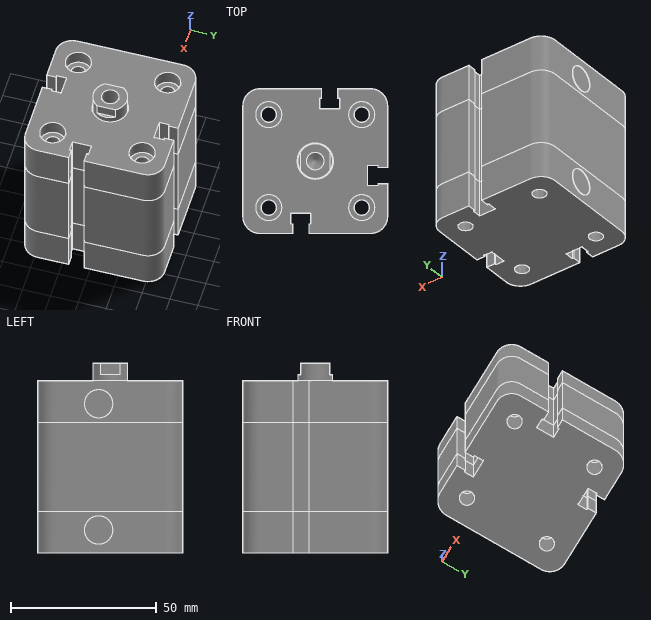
import cadquery as cq
import math

side = 50.0
corner_radius = 6.0

overall_height = 65.5
rod_projection = 6.0
body_height = overall_height - rod_projection
cap_height = 14.4
barrel_height = body_height - 2 * cap_height
front_cap_base = body_height - cap_height

slot_offset = 5.0
slot_mouth_width = 5.5
slot_inner_width = 6.8
slot_lip_depth = 3.4
slot_depth = 6.95
slot_angles = (0, 90, 180)

mount_spacing = 32.0
mount_diameter = 5.2
counterbore_diameter = 9.0
counterbore_depth = 5.5

port_diameter = 9.75
port_depth = 0.2
port_y = 4.0
port_end_distance = 8.0

rod_diameter = 12.0
rod_bore_diameter = 12.5
rod_across_flats = 10.0
rod_flat_height = 4.0
rod_hole_diameter = 6.0
rod_hole_depth = 12.0
drill_tip_angle = 118.0


def t_slot(base_z, height, angle):
    """T-slot cutter in the -Y side, turned about Z by the given angle."""
    face_y = -side / 2
    mouth = cq.Workplane("XY").box(
        slot_mouth_width, slot_depth, height, centered=(True, False, False)
    )
    inner = (
        cq.Workplane("XY")
        .box(slot_inner_width, slot_depth - slot_lip_depth, height, centered=(True, False, False))
        .translate((0, slot_lip_depth, 0))
    )
    cutter = mouth.union(inner).translate((-slot_offset, face_y, base_z))
    return cutter.rotate((0, 0, 0), (0, 0, 1), angle)


def body_section(base_z, height):
    """Rounded square block with the T-slots and the four through holes."""
    section = (
        cq.Workplane("XY", origin=(0, 0, base_z))
        .rect(side, side)
        .extrude(height)
        .edges("|Z")
        .fillet(corner_radius)
    )
    section = (
        section.faces(">Z")
        .workplane(origin=(0, 0, 0))
        .rect(mount_spacing, mount_spacing, forConstruction=True)
        .vertices()
        .hole(mount_diameter)
    )
    for angle in slot_angles:
        section = section.cut(t_slot(base_z, height, angle))
    return section


def port_recess(center_z):
    """Shallow round recess cutter in the -X side."""
    return (
        cq.Workplane("YZ", origin=(-side / 2, port_y, center_z))
        .circle(port_diameter / 2)
        .extrude(port_depth)
    )


def make_rear_cap():
    return body_section(0, cap_height).cut(port_recess(port_end_distance))


def make_barrel():
    return body_section(cap_height, barrel_height)


def make_front_cap():
    counterbores = (
        cq.Workplane("XY", origin=(0, 0, body_height))
        .rect(mount_spacing, mount_spacing, forConstruction=True)
        .vertices()
        .circle(counterbore_diameter / 2)
        .extrude(-counterbore_depth)
    )
    rod_bore = (
        cq.Workplane("XY", origin=(0, 0, front_cap_base))
        .circle(rod_bore_diameter / 2)
        .extrude(cap_height)
    )
    cap = body_section(front_cap_base, cap_height)
    return cap.cut(counterbores).cut(rod_bore).cut(port_recess(body_height - port_end_distance))


def make_piston_rod():
    """Rod standing on the barrel, with two wrench flats and a drilled end."""
    rod = (
        cq.Workplane("XY", origin=(0, 0, front_cap_base))
        .circle(rod_diameter / 2)
        .extrude(overall_height - front_cap_base)
    )

    flat_cut_depth = (rod_diameter - rod_across_flats) / 2
    for direction in (-1, 1):
        flat_cutter = (
            cq.Workplane("XY", origin=(direction * rod_diameter / 2, 0, overall_height))
            .rect(2 * flat_cut_depth, rod_diameter)
            .extrude(-rod_flat_height)
        )
        rod = rod.cut(flat_cutter)

    hole_radius = rod_hole_diameter / 2
    tip_length = hole_radius / math.tan(math.radians(drill_tip_angle / 2))
    hole_bottom = overall_height - rod_hole_depth
    end_hole = (
        cq.Workplane("XZ")
        .moveTo(0, overall_height)
        .lineTo(hole_radius, overall_height)
        .lineTo(hole_radius, hole_bottom)
        .lineTo(0, hole_bottom - tip_length)
        .close()
        .revolve(360, (0, 0, 0), (0, 1, 0))
    )
    return rod.cut(end_hole)


rear_cap = make_rear_cap()
barrel = make_barrel()
front_cap = make_front_cap()
piston_rod = make_piston_rod()

result = cq.Compound.makeCompound(
    [rear_cap.val(), barrel.val(), front_cap.val(), piston_rod.val()]
)